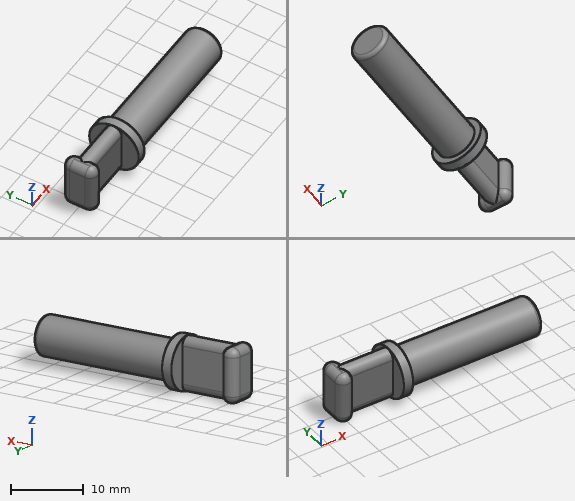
import cadquery as cq

TOTAL_LENGTH = 33.0
FLANGE_DIAMETER = 8.0
FLANGE_THICKNESS = 1.52
FLANGE_START = 9.5
SHAFT_DIAMETER = 5.9
SHAFT_END_FILLET = 0.6
HEAD_THICKNESS = 2.5
HEAD_END_FILLET = 1.2

HEAD_WIDTH = 2 * HEAD_THICKNESS
HEIGHT = FLANGE_DIAMETER
BLADE_THICKNESS = HEAD_THICKNESS
SHAFT_START = FLANGE_START + FLANGE_THICKNESS


def make_cylinder(start, end, diameter):
    """Cylinder along X between two X positions."""
    return cq.Workplane("YZ", origin=(start, 0, 0)).circle(diameter / 2).extrude(end - start)


def make_shaft():
    """Round shaft with a rounded rim at its free end."""
    shaft = make_cylinder(SHAFT_START, TOTAL_LENGTH, SHAFT_DIAMETER)
    return shaft.faces(">X").edges().fillet(SHAFT_END_FILLET)


def make_blade(start):
    """Flat blade with fully rounded upper and lower edges, running to the flange."""
    return (
        cq.Workplane("YZ", origin=(start, 0, 0))
        .slot2D(HEIGHT, BLADE_THICKNESS, 90)
        .extrude(FLANGE_START - start)
    )


def make_head(center):
    """Upright bar with fully rounded sides and rounded top and bottom rims."""
    return (
        cq.Workplane("XY", origin=(center, 0, -HEIGHT / 2))
        .slot2D(HEAD_WIDTH, HEAD_THICKNESS, 90)
        .extrude(HEIGHT)
        .faces("<Z or >Z")
        .edges()
        .fillet(HEAD_END_FILLET)
    )


head_center = HEAD_THICKNESS / 2
flange = make_cylinder(FLANGE_START, SHAFT_START, FLANGE_DIAMETER)

result = make_head(head_center).union(make_blade(head_center)).union(flange).union(make_shaft())